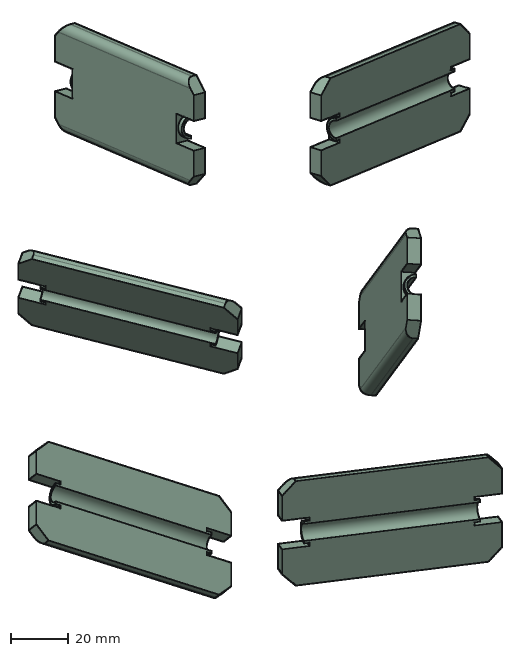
import cadquery as cq

length = 80.0
height = length / 2
thickness = length / 16
corner_chamfer = thickness
front_edge_radius = 3.0

notch_depth = length / 8
notch_height = 10.9

sleeve_diameter = 8.5
channel_diameter = 6.5
sleeve_projection = 2.0

back_y = thickness / 2
sleeve_length = length - 2 * (notch_depth - sleeve_projection)


def make_plate():
    """Plate with rounded long front edges and chamfered corners."""
    blank = cq.Workplane("XY").box(length, thickness, height)
    rounded = blank.faces("<Y").edges("|X").fillet(front_edge_radius)
    corners = (
        cq.Workplane("XY")
        .box(length, thickness, height)
        .edges("|Y")
        .chamfer(corner_chamfer)
    )
    return rounded.intersect(corners)


def make_notch(side):
    """Cutter for the notch at one end; side is -1 or 1 along X."""
    center_x = side * (length - notch_depth) / 2
    return cq.Workplane("XY").box(notch_depth, thickness, notch_height).translate((center_x, 0, 0))


def make_rod(diameter, rod_length):
    """Cylinder along X, centred on the back face."""
    return (
        cq.Workplane("YZ")
        .center(back_y, 0)
        .circle(diameter / 2)
        .extrude(rod_length / 2, both=True)
    )


plate = make_plate()
for side in (-1, 1):
    plate = plate.cut(make_notch(side))

envelope = cq.Workplane("XY").box(length, thickness, height)
sleeve = make_rod(sleeve_diameter, sleeve_length).intersect(envelope)
channel = make_rod(channel_diameter, length)

result = plate.union(sleeve).cut(channel)